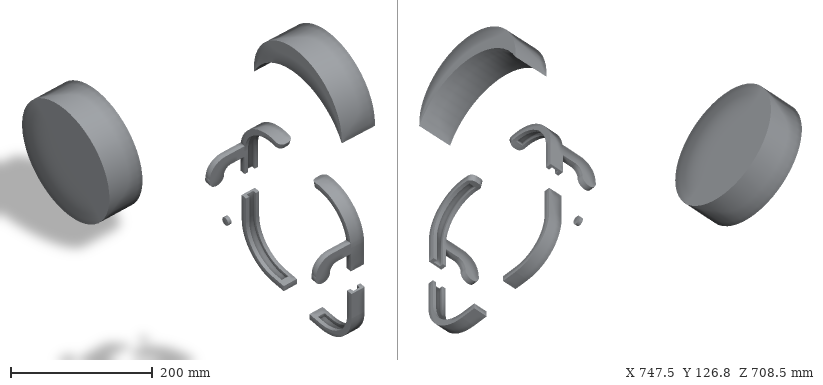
import cadquery as cq
import math

lens_diameter = 197.0
lens_thickness = 60.0

crescent_center = (543.0, -15.0, 510.0)
crescent_radius = 99.5
bite_radius = 111.5
bite_offset_x = 1.5
bite_offset_z = -56.0
crescent_tilt = -1.0

rail_depth = 24.0
rail_thickness = 10.0
corner_radius = 69.5
upper_height = 114.0
lower_height = 116.5
upper_sweep = 107.0
lower_sweep = 90.0
lower_bar_length = 25.5
channel_width = 12.0
channel_depth = 6.0
end_block_length = 12.0
tip_radius = 9.0

upper_left_corner = (389.0, -1.5, 374.5)
upper_right_corner = (647.5, -9.0, 371.5)
lower_left_corner = (392.0, -1.5, 99.5)
lower_right_corner = (649.0, -9.0, 99.0)

hook_top = -60.0
hook_height = 20.0
hook_reach = 59.0
hook_inner_reach = 49.0
outer_curl_reach = 28.0
outer_curl_drop = 29.0
inner_curl_reach = 12.0
inner_curl_drop = 15.0
hook_tip_bulge = 12.0

pin_center = (353.5, -19.0, 137.0)
pin_diameter = 7.5
ring_diameter = 13.5
ring_thickness = 6.0


def disc(radius, thickness):
    """Disc around the Y axis, from Y = 0 toward -Y."""
    return cq.Workplane("XZ").circle(radius).extrude(thickness)


def make_round_lens():
    return disc(lens_diameter / 2, lens_thickness).translate((0, lens_thickness / 2, 0))


def make_crescent_lens():
    bite = disc(bite_radius, lens_thickness).translate((bite_offset_x, 0, bite_offset_z))
    crescent = disc(crescent_radius, lens_thickness).cut(bite)
    crescent = crescent.translate((0, lens_thickness / 2, 0))
    crescent = crescent.rotate((0, 0, 0), (1, 0, 0), crescent_tilt)
    return crescent.translate(crescent_center)


def bend_point(radius, angle):
    """Point on the bend, at an angle in degrees measured from the end of the straight side."""
    turn = math.radians(angle)
    return (corner_radius - radius * math.cos(turn), -corner_radius + radius * math.sin(turn))


def bar_end_point(radius, sweep, bar_length):
    """Point at the end of the straight bar that leaves the bend along its tangent."""
    x, z = bend_point(radius, sweep)
    turn = math.radians(sweep)
    return (x + bar_length * math.sin(turn), z + bar_length * math.cos(turn))


def rail(height, sweep, bar_length, outer_offset, inner_offset, depth):
    """Straight side, round bend and optional bar, between two offsets in from the outer outline."""
    outer_radius = corner_radius - outer_offset
    inner_radius = corner_radius - inner_offset
    outline = cq.Workplane("XZ").moveTo(outer_offset, -height).lineTo(outer_offset, -corner_radius)
    outline = outline.threePointArc(bend_point(outer_radius, sweep / 2), bend_point(outer_radius, sweep))
    if bar_length > 0:
        outline = outline.lineTo(*bar_end_point(outer_radius, sweep, bar_length))
        outline = outline.lineTo(*bar_end_point(inner_radius, sweep, bar_length))
    outline = outline.lineTo(*bend_point(inner_radius, sweep))
    outline = outline.threePointArc(bend_point(inner_radius, sweep / 2), bend_point(inner_radius, 0))
    return outline.lineTo(inner_offset, -height).close().extrude(depth)


def cut_channel(body, height, sweep, bar_length):
    """Cut the inner channel, open at the straight end of the side."""
    floor = rail_thickness - channel_depth
    channel = rail(height, sweep, bar_length, floor, rail_thickness, channel_width)
    return body.cut(channel.translate((0, -(rail_depth - channel_width) / 2, 0)))


def make_lower_corner():
    """Lower left quarter frame with its outer corner point at the origin."""
    body = rail(lower_height, lower_sweep, lower_bar_length, 0, rail_thickness, rail_depth)
    body = cut_channel(body, lower_height, lower_sweep, lower_bar_length - end_block_length)
    return body.mirror("XY")


def curl_point(start, reach, drop):
    """Middle point of a curl that runs forward from its start and turns down."""
    run = math.sqrt(0.5)
    return (start[0] - run * reach, start[1] - (1 - run) * drop)


def make_hook():
    """Side profile of the hook, extruded through the thickness of the rail."""
    hook_bottom = hook_top - hook_height
    outer_start = (-hook_reach, hook_top)
    outer_end = (-hook_reach - outer_curl_reach, hook_top - outer_curl_drop)
    inner_start = (-hook_inner_reach, hook_bottom)
    inner_end = (-hook_inner_reach - inner_curl_reach, hook_bottom - inner_curl_drop)
    tip = ((outer_end[0] + inner_end[0]) / 2, inner_end[1] - hook_tip_bulge)
    return (
        cq.Workplane("YZ")
        .moveTo(-rail_depth, hook_top)
        .lineTo(*outer_start)
        .threePointArc(curl_point(outer_start, outer_curl_reach, outer_curl_drop), outer_end)
        .threePointArc(tip, inner_end)
        .threePointArc(curl_point(inner_start, inner_curl_reach, inner_curl_drop), inner_start)
        .lineTo(-rail_depth, hook_bottom)
        .close()
        .extrude(rail_thickness)
    )


def make_hooked_corner():
    """Upper left quarter frame with its outer corner point at the origin."""
    body = rail(upper_height, upper_sweep, 0, 0, rail_thickness, rail_depth)
    tip_edges = body.faces(">X").edges("#Y")
    body = body.newObject(tip_edges.vals()).fillet(tip_radius)
    end_block_angle = math.degrees(end_block_length / corner_radius)
    body = cut_channel(body, upper_height, upper_sweep - end_block_angle, 0)
    return body.union(make_hook())


def make_pin():
    return disc(pin_diameter / 2, ring_thickness).translate(pin_center)


def make_ring():
    ring = disc(ring_diameter / 2, ring_thickness).cut(disc(pin_diameter / 2, ring_thickness))
    return ring.translate(pin_center)


round_lens = make_round_lens()
crescent_lens = make_crescent_lens()
pin = make_pin()
ring = make_ring()

hooked_corner = make_hooked_corner()
hooked_corners = [
    hooked_corner.translate(upper_left_corner),
    hooked_corner.mirror("YZ").translate(upper_right_corner),
]

lower_corner = make_lower_corner()
lower_corners = [
    lower_corner.translate(lower_left_corner),
    lower_corner.mirror("YZ").translate(lower_right_corner),
]

bodies = [round_lens, crescent_lens, pin, ring, *hooked_corners, *lower_corners]
result = cq.Compound.makeCompound([body.val() for body in bodies])